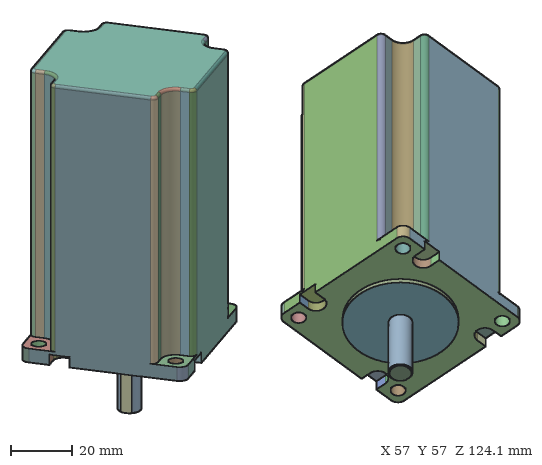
import cadquery as cq

width = 57.0
total_height = 124.1
shaft_length = 23.0
pilot_height = 1.6
flange_thickness = 5.0
flange_corner_radius = 3.0
hole_spacing = 47.2
hole_diameter = 5.0
relief_size = 10.0
relief_inner_radius = 5.0
relief_edge_radius = 2.0
top_edge_radius = 1.0
pilot_diameter = 38.1
shaft_diameter = 8.0
shaft_flat_depth = 0.5
shaft_tip_chamfer = 0.4
slot_width = 7.0
slot_height = 3.7
slot_offset = 14.9
slot_depth = 7.5

pilot_bottom = shaft_length
flange_bottom = pilot_bottom + pilot_height
body_height = total_height - flange_bottom


def make_housing():
    """Square housing with rounded reliefs along its four upright corners."""
    housing = cq.Workplane("XY").workplane(offset=flange_bottom).rect(width, width).extrude(body_height)
    corner_blocks = (
        cq.Workplane("XY").workplane(offset=flange_bottom)
        .rect(width, width, forConstruction=True).vertices()
        .rect(2 * relief_size, 2 * relief_size).extrude(body_height)
        .edges("|Z").fillet(relief_inner_radius)
    )
    housing = housing.cut(corner_blocks)
    outer_edges = housing.faces("<X or >X or <Y or >Y").edges("|Z")
    housing = outer_edges.fillet(relief_edge_radius)
    return housing.faces(">Z").edges().fillet(top_edge_radius)


def make_flange():
    """Square mounting flange with rounded corners."""
    return (
        cq.Workplane("XY").workplane(offset=flange_bottom)
        .rect(width, width).extrude(flange_thickness)
        .edges("|Z").fillet(flange_corner_radius)
    )


def make_mounting_holes():
    """Through holes in the four flange corners."""
    return (
        cq.Workplane("XY").workplane(offset=flange_bottom)
        .rect(hole_spacing, hole_spacing, forConstruction=True).vertices()
        .circle(hole_diameter / 2).extrude(flange_thickness)
    )


def make_edge_slot(angle):
    """Round-ended slot in the underside, open at one side of the flange."""
    return (
        cq.Workplane("XY").workplane(offset=flange_bottom)
        .center(-slot_offset, -width / 2).slot2D(2 * slot_depth, slot_width, 90).extrude(slot_height)
        .rotate((0, 0, 0), (0, 0, 1), angle)
    )


def make_pilot():
    """Centring disc below the flange."""
    return cq.Workplane("XY").workplane(offset=pilot_bottom).circle(pilot_diameter / 2).extrude(pilot_height)


def make_shaft():
    """Output shaft with a chamfered tip and a flat on its -Y side."""
    shaft = cq.Workplane("XY").circle(shaft_diameter / 2).extrude(shaft_length)
    shaft = shaft.faces("<Z").chamfer(shaft_tip_chamfer)
    flat_cut = (
        cq.Workplane("XY").center(0, shaft_flat_depth - shaft_diameter)
        .rect(shaft_diameter, shaft_diameter).extrude(shaft_length)
    )
    return shaft.cut(flat_cut)


result = make_housing().union(make_flange()).cut(make_mounting_holes())
for slot_angle in (0, 90, 180, 270):
    result = result.cut(make_edge_slot(slot_angle))
result = result.union(make_pilot()).union(make_shaft())